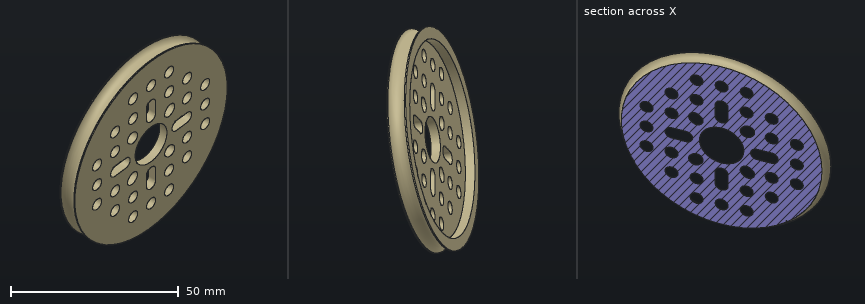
import cadquery as cq
import math

wheel_radius = 33.8
wheel_width = 6.0
half_width = wheel_width / 2

groove_depth = 1.75
groove_radius = 2.8

recess_radius = 30.0
recess_depth = half_width

bore_diameter = 14.0
hole_diameter = 4.0
hole_pitch = 8.0

inner_ring_radius = hole_pitch * math.sqrt(2)
cross_slot_end_radius = 2 * hole_pitch
diagonal_slot_end_radius = 1.5 * hole_pitch

quarter_hole_steps = [(3, -1), (3, 0), (3, 1), (2, 1), (1, 2), (2, 2)]
quarter_turns = (0, 90, 180, 270)


def turned(body, angle):
    """Copy of a body turned about the wheel axis."""
    return body.rotate((0, 0, 0), (1, 0, 0), angle)


def through(sketch):
    """Cutter running through the whole width of the wheel."""
    return sketch.extrude(half_width, both=True)


def wheel_blank():
    """Full-width solid wheel with the rope groove in its rim."""
    groove_centre_radius = wheel_radius - groove_depth + groove_radius
    groove_half_opening = math.sqrt(groove_radius**2 - (groove_centre_radius - wheel_radius) ** 2)
    profile = (
        cq.Workplane("XY")
        .moveTo(-half_width, 0)
        .lineTo(-half_width, wheel_radius)
        .lineTo(-groove_half_opening, wheel_radius)
        .threePointArc((0, wheel_radius - groove_depth), (groove_half_opening, wheel_radius))
        .lineTo(half_width, wheel_radius)
        .lineTo(half_width, 0)
        .close()
    )
    return profile.revolve(360, (0, 0, 0), (1, 0, 0))


def face_recess():
    """Cutter for the recess in the -X face."""
    face = cq.Workplane("YZ", origin=(-half_width, 0, 0))
    return face.circle(recess_radius).extrude(recess_depth)


def bore():
    """Cutter for the central bore."""
    return through(cq.Workplane("YZ").circle(bore_diameter / 2))


def quarter_holes():
    """Cutter for the round holes of one quarter."""
    points = [(y_steps * hole_pitch, z_steps * hole_pitch) for y_steps, z_steps in quarter_hole_steps]
    return through(cq.Workplane("YZ").pushPoints(points).circle(hole_diameter / 2))


def radial_slot(end_radius, angle):
    """Cutter for a round-ended slot from the inner ring out to the given end-centre radius."""
    middle_radius = (inner_ring_radius + end_radius) / 2
    overall_length = end_radius - inner_ring_radius + hole_diameter
    slot = cq.Workplane("YZ").center(middle_radius, 0).slot2D(overall_length, hole_diameter)
    return turned(through(slot), angle)


result = wheel_blank().cut(face_recess()).cut(bore())
for turn in quarter_turns:
    result = result.cut(turned(quarter_holes(), turn))
    result = result.cut(radial_slot(cross_slot_end_radius, turn))
    result = result.cut(radial_slot(diagonal_slot_end_radius, turn + 45))